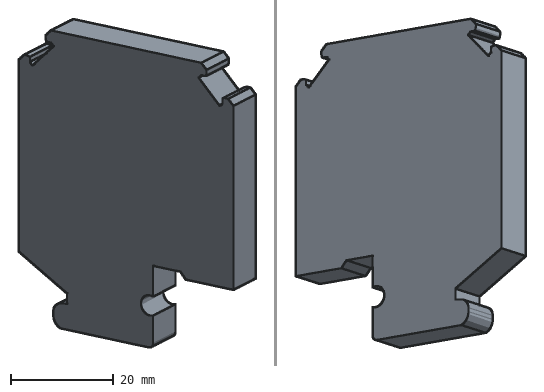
import cadquery as cq

width = 50.0
thickness = 8.0
height = 61.25

lip_reach = 6.25
lip_chamfer = 1.2
lip_tip_radius = 2.45
lip_thickness = 2.6
lip_tip_setback = 0.2
lip_inner_length = 1.2
notch_floor_near = 3.2
notch_floor_far = 8.1

foot_left = 11.2
foot_right = 31.3
slope_top = 14.0
slope_bottom = 7.55
toe_top = 5.4
toe_left = 8.0
toe_flat_bottom = 2.45
toe_flat_top = 3.25
toe_slope_start = 9.6
toe_slope_bottom = 5.15
toe_upper_radius = 1.95
toe_lower_radius = 2.65
toe_bottom_start = 9.75
foot_corner_radius = 1.05
latch_radius = 2.1
latch_x = 30.55
latch_z = 8.75

right_bottom = 15.7
recess_top = 17.1
recess_bevel_start = 37.6
recess_bevel_end = 38.9

lip_top = (lip_reach + lip_chamfer, 0)
lip_side = (lip_reach, lip_chamfer)
lip_hook = (lip_reach + lip_tip_setback, lip_thickness)
lip_root = (lip_reach + lip_inner_length, lip_thickness)
notch_floor = (notch_floor_far, notch_floor_near)


def mirrored(point):
    """Mirror a lip point across the diagonal of the corner, onto the lower lip."""
    inset, depth = point
    return depth, inset


def on_left(point):
    """Place a lip point on the top left corner of the body."""
    inset, depth = point
    return inset, height - depth


def on_right(point):
    """Place a lip point on the top right corner of the body."""
    inset, depth = point
    return width - inset, height - depth


def draw_notch(outline, first_lip, second_lip):
    """Draw a corner notch clockwise; each argument is a function that places lip points."""
    return (
        outline.lineTo(*first_lip(lip_top))
        .lineTo(*first_lip(lip_side))
        .radiusArc(first_lip(lip_hook), lip_tip_radius)
        .lineTo(*first_lip(lip_root))
        .lineTo(*first_lip(notch_floor))
        .lineTo(*second_lip(notch_floor))
        .lineTo(*second_lip(lip_root))
        .lineTo(*second_lip(lip_hook))
        .radiusArc(second_lip(lip_side), lip_tip_radius)
        .lineTo(*second_lip(lip_top))
    )


def left_lower(point):
    return on_left(mirrored(point))


def right_lower(point):
    return on_right(mirrored(point))


underside_right = [
    (width, right_bottom),
    (recess_bevel_end, right_bottom),
    (recess_bevel_start, recess_top),
    (foot_right, recess_top),
]

outline = cq.Workplane("XZ").moveTo(0, slope_top)
outline = draw_notch(outline, left_lower, on_left)
outline = draw_notch(outline, on_right, right_lower)

body = (
    outline.polyline(underside_right, includeCurrent=True)
    .lineTo(foot_right, foot_corner_radius)
    .radiusArc((foot_right - foot_corner_radius, 0), foot_corner_radius)
    .lineTo(toe_bottom_start, 0)
    .radiusArc((toe_left, toe_flat_bottom), toe_lower_radius)
    .lineTo(toe_left, toe_flat_top)
    .radiusArc((toe_slope_start, toe_slope_bottom), toe_upper_radius)
    .lineTo(foot_left, toe_top)
    .lineTo(foot_left, slope_bottom)
    .close()
    .extrude(-thickness)
)

latch_groove = (
    cq.Workplane("XZ")
    .center(latch_x, latch_z)
    .circle(latch_radius)
    .extrude(-thickness)
)

result = body.cut(latch_groove)